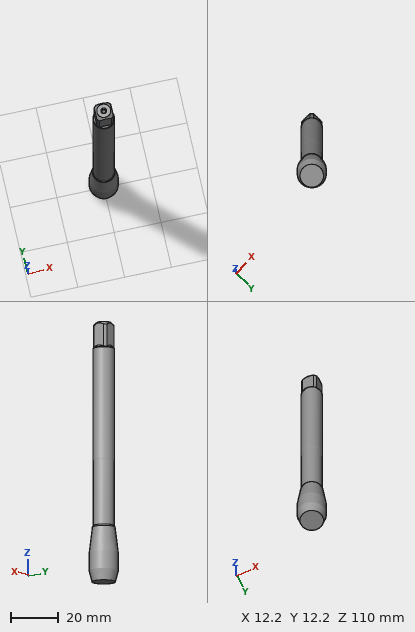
import cadquery as cq
import math

overall_length = 110.0
lead_length = 4.6
head_land_top = 12.3
head_top = 23.1
neck_base_cone_height = 0.7
neck_top = 51.2
neck_cone_height = 0.7
shoulder_base = 98.9
shoulder_edge_height = 0.3

tip_diameter = 9.8
head_diameter = 12.2
head_top_diameter = 9.6
shank_diameter = 9.0
neck_diameter = 8.9

square_width = 7.0
square_corner_diameter = 8.7
square_top_diameter = 5.8
shoulder_top_diameter = square_width
square_chamfer = (square_corner_diameter - square_top_diameter) / 2
shoulder_cone_base = shoulder_base + shoulder_edge_height
shoulder_top = shoulder_cone_base + (square_corner_diameter - shoulder_top_diameter) / 2

center_hole_diameter = 1.6
center_hole_mouth = 2.4
center_hole_countersink_angle = 60
center_hole_depth = 2.2
center_hole_cone_height = center_hole_diameter / 2
center_hole_countersink = (
    (center_hole_mouth - center_hole_diameter) / 2
    / math.tan(math.radians(center_hole_countersink_angle / 2))
)


def revolve_profile(stations):
    """Revolve (diameter, height) stations, listed upward, about Z into one solid."""
    outline = [(diameter / 2, height) for diameter, height in stations]
    first_height = stations[0][1]
    last_height = stations[-1][1]
    profile = cq.Workplane("XZ").moveTo(0, last_height)
    for radius, height in reversed(outline):
        profile = profile.lineTo(radius, height)
    if outline[0][0] > 0:
        profile = profile.lineTo(0, first_height)
    return profile.close().revolve(360, (0, 0), (0, 1))


def make_head():
    """Tapered working head: lead cone, cylindrical land and long back taper."""
    return revolve_profile([
        (tip_diameter, 0),
        (head_diameter, lead_length),
        (head_diameter, head_land_top),
        (head_top_diameter, head_top),
    ])


def make_square_drive():
    """Square with rounded corners and a turned chamfer, down to the shoulder base."""
    turned = revolve_profile([
        (square_corner_diameter, shoulder_base),
        (square_corner_diameter, overall_length - square_chamfer),
        (square_top_diameter, overall_length),
    ])
    square = (
        cq.Workplane("XY", origin=(0, 0, shoulder_base))
        .rect(square_width, square_width)
        .extrude(overall_length - shoulder_base)
    )
    return turned.intersect(square)


def make_center_hole():
    """Blind centre hole with a conical bottom and a 60 degree countersink at its mouth."""
    return revolve_profile([
        (0, overall_length - center_hole_depth),
        (center_hole_diameter, overall_length - center_hole_depth + center_hole_cone_height),
        (center_hole_diameter, overall_length - center_hole_countersink),
        (center_hole_mouth, overall_length),
    ])


def make_shank():
    """Neck and shank with a bevelled conical shoulder, square drive and centre hole."""
    turned = revolve_profile([
        (head_top_diameter, head_top),
        (neck_diameter, head_top + neck_base_cone_height),
        (neck_diameter, neck_top),
        (shank_diameter, neck_top + neck_cone_height),
        (shank_diameter, shoulder_base),
        (square_corner_diameter, shoulder_cone_base),
        (shoulder_top_diameter, shoulder_top),
    ])
    return turned.union(make_square_drive()).cut(make_center_hole())


head = make_head()
shank = make_shank()

result = cq.Compound.makeCompound([head.val(), shank.val()])